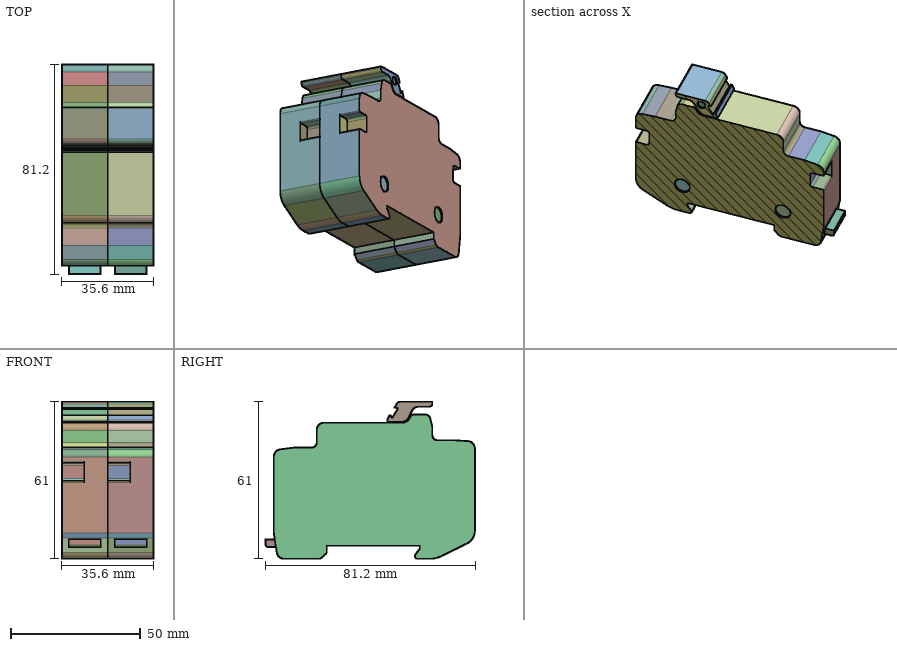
import cadquery as cq
import math


module_count = 2
module_width = 17.8
housing_depth = 78.0
total_height = 61.0

floor_z = 52.9
hump_top_z = 56.0
front_shoulder_z = 43.2
front_shoulder_edge_z = 42.2
rear_shoulder_z = 46.0
rear_shoulder_edge_z = 45.55
rail_z = 5.0

front_step_y = 16.65
rear_step_y = 61.55
shoulder_bend = 8.0
rail_front_y = 20.6
rail_rear_y = 56.6
body_radius = 3.0

pocket_width = 8.8
pocket_depth = 5.6
pocket_bottom_z = 30.3
pocket_height = 7.0
pocket_inner_radius = 1.0
pocket_mouth_radius = 0.5

rivet_diameter = 6.2
rivet_recess_depth = 0.5
rivet_z = 13.4
rivet_stations_y = (17.0, 58.7)

tab_width = 12.3
tab_reach = 81.2 - housing_depth
tab_bottom_z = 4.6
tab_height = 3.0
tab_radius = 1.0
tab_root = 2.4

lever_gap = 0.25
lever_bottom_z = floor_z + lever_gap
lever_arm_thickness = 2.0
lever_arm_bottom_z = total_height - lever_arm_thickness
lever_hole_diameter = 3.2
lever_hole_depth = 0.5
lever_hole_y = 50.75
lever_hole_z = 58.1


def rounded_outline(corners):
    """Closed YZ outline; each corner is (y, z, radius), radius 0 for a sharp corner."""
    path = None
    for index, (y, z, radius) in enumerate(corners):
        corner = cq.Vector(y, z)
        before = cq.Vector(*corners[index - 1][:2])
        after = cq.Vector(*corners[(index + 1) % len(corners)][:2])
        to_before = (before - corner).normalized()
        to_after = (after - corner).normalized()
        half_angle = to_before.getAngle(to_after) / 2
        tangent_length = radius / math.tan(half_angle)
        start = corner + to_before * tangent_length
        if path is None:
            path = cq.Workplane("YZ").moveTo(start.x, start.y)
        else:
            path = path.lineTo(start.x, start.y)
        if radius > 0:
            bisector = (to_before + to_after).normalized()
            middle = corner + bisector * (radius / math.sin(half_angle) - radius)
            end = corner + to_after * tangent_length
            path = path.threePointArc((middle.x, middle.y), (end.x, end.y))
    return path.close()


def housing_block():
    corners = [
        (1.55, 0, body_radius),
        (0.3, 8.2, 0),
        (0, 10.1, 0),
        (0, front_shoulder_edge_z, body_radius),
        (shoulder_bend, front_shoulder_z, 0),
        (front_step_y, front_shoulder_z, 1.95),
        (front_step_y, floor_z, 2.9),
        (51.7, floor_z, 3.25),
        (53.4, hump_top_z, 1.6),
        (60.3, hump_top_z, 2.3),
        (rear_step_y, 51.15, 0),
        (rear_step_y, rear_shoulder_z, 1.95),
        (housing_depth - shoulder_bend, rear_shoulder_z, 0),
        (housing_depth, rear_shoulder_edge_z, body_radius),
        (housing_depth, 7.5, 5.7),
        (62.85, 0, 9.75),
        (53.6, 0, 1.1),
        (rail_rear_y, 4.0, 0),
        (rail_rear_y, rail_z, 0),
        (rail_front_y, rail_z, 0),
        (rail_front_y, 2.35, 0),
        (18.2, 0, 2.0),
    ]
    return rounded_outline(corners).extrude(module_width)


def terminal_pocket():
    """Cutter for the front pocket, open at the front face and at the -X side."""
    bottom = pocket_bottom_z
    top = pocket_bottom_z + pocket_height
    flare = pocket_mouth_radius
    corners = [
        (pocket_depth, bottom, pocket_inner_radius),
        (pocket_depth, top, pocket_inner_radius),
        (0, top, 0),
        (0, bottom, 0),
    ]
    pocket = rounded_outline(corners).extrude(pocket_width)
    arc_offset = flare * (1 - math.sqrt(0.5))
    mouth = (
        cq.Workplane("YZ")
        .moveTo(0, bottom - flare)
        .threePointArc((arc_offset, bottom - arc_offset), (flare, bottom))
        .lineTo(flare, top)
        .threePointArc((arc_offset, top + arc_offset), (0, top + flare))
        .close()
        .extrude(pocket_width)
    )
    return pocket.union(mouth)


def latch_tab():
    return (
        cq.Workplane("XY")
        .box(tab_width, tab_reach + tab_root, tab_height, centered=(True, False, False))
        .edges("|X and <Y and <Z")
        .fillet(tab_radius)
        .translate((module_width / 2, -tab_reach, tab_bottom_z))
    )


def make_housing():
    front_pocket = terminal_pocket()
    rear_pocket = front_pocket.mirror("XZ").translate((0, housing_depth, 0))
    rivet_recesses = (
        cq.Workplane("YZ")
        .pushPoints([(y, rivet_z) for y in rivet_stations_y])
        .circle(rivet_diameter / 2)
        .extrude(rivet_recess_depth)
    )
    return (
        housing_block()
        .cut(front_pocket)
        .cut(rear_pocket)
        .cut(rivet_recesses)
        .union(latch_tab())
    )


def make_lever():
    corners = [
        (48.15, total_height, 1.9),
        (61.55, total_height, 0.5),
        (61.55, lever_arm_bottom_z, 1.2),
        (54.4, lever_arm_bottom_z, 2.6),
        (51.6, lever_bottom_z, 3.0),
        (43.6, lever_bottom_z, 0.6),
        (44.8, 55.6, 0),
        (45.3, 55.6, 0),
        (45.9, 54.65, 0),
        (47.9, 58.0, 0),
        (47.9, 58.5, 0),
        (46.8, 58.6, 0),
    ]
    pivot_recess = (
        cq.Workplane("YZ")
        .center(lever_hole_y, lever_hole_z)
        .circle(lever_hole_diameter / 2)
        .extrude(lever_hole_depth)
    )
    return rounded_outline(corners).extrude(module_width).cut(pivot_recess)


module_offsets = [(index * module_width, 0, 0) for index in range(module_count)]
housings = [make_housing().translate(offset) for offset in module_offsets]
levers = [make_lever().translate(offset) for offset in module_offsets]

result = cq.Compound.makeCompound([body.val() for body in housings + levers])